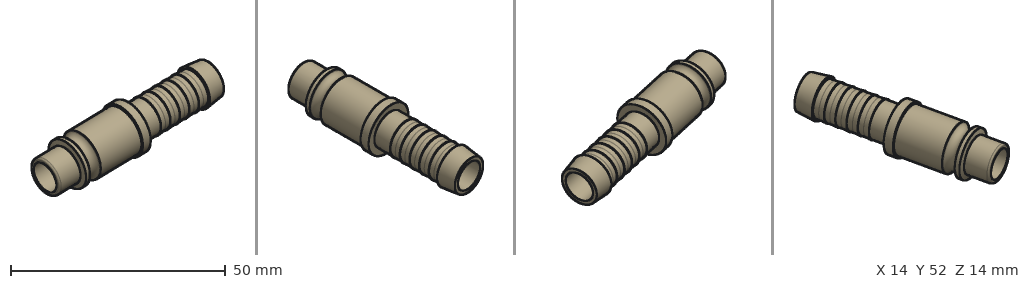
import cadquery as cq
import math

length = 52.0
bore_radius = 3.9

tip_radius = 5.0
tip_fillet = 0.5
flange_shoulder_radius = 6.5
flange_face_y = 6.6
flange_face_angle = 15.0

groove_center_y = 9.95
groove_bottom_radius = 5.35
groove_arc_radius = 1.7
lip_edge_offset = 1.7
lip_arc_offset = 1.5

body_radius = 6.5
collar_radius = 7.0
collar_start_y = 24.5
collar_end_y = 27.0

tail_radius = 5.0
head_radius = 5.6
head_length = 5.0
barb_radius = 5.15
barb_length = 1.5
barb_pitch = 3.0
barb_count = 5
last_barb_end_y = length - head_length - barb_count * barb_pitch


def ring(radius, start_y, end_y):
    """Solid cylinder along Y between two stations."""
    return cq.Workplane("XZ", origin=(0, end_y, 0)).circle(radius).extrude(end_y - start_y)


def flare(large_radius, small_radius, start_y, end_y):
    """Solid cone along Y, large at its start and tapering to its end."""
    outline = [(0, start_y), (large_radius, start_y), (small_radius, end_y), (0, end_y)]
    return cq.Workplane("XY").polyline(outline).close().revolve(360, (0, 0), (0, 1))


def plug():
    """Plug tip, flange, locking groove and body as one revolved outline."""
    flange_face_rise = (flange_shoulder_radius - tip_radius) * math.tan(math.radians(flange_face_angle))
    arc_center_radius = groove_bottom_radius + groove_arc_radius
    arc_end_radius = arc_center_radius - math.sqrt(groove_arc_radius**2 - lip_arc_offset**2)
    outline = (
        cq.Workplane("XY")
        .moveTo(0, 0)
        .lineTo(tip_radius, 0)
        .lineTo(tip_radius, flange_face_y)
        .lineTo(flange_shoulder_radius, flange_face_y + flange_face_rise)
        .lineTo(flange_shoulder_radius, groove_center_y - lip_edge_offset)
        .lineTo(arc_end_radius, groove_center_y - lip_arc_offset)
        .threePointArc(
            (groove_bottom_radius, groove_center_y),
            (arc_end_radius, groove_center_y + lip_arc_offset),
        )
        .lineTo(body_radius, groove_center_y + lip_edge_offset)
        .lineTo(body_radius, collar_start_y)
        .lineTo(0, collar_start_y)
        .close()
    )
    solid = outline.revolve(360, (0, 0), (0, 1))
    return solid.faces("<Y").edges().fillet(tip_fillet)


def hose_tail():
    """Plain tail with a row of shallow barbs and a tapered head at the end."""
    tail = ring(tail_radius, collar_end_y, length)
    for index in range(barb_count):
        start_y = last_barb_end_y + index * barb_pitch
        tail = tail.union(flare(barb_radius, tail_radius, start_y, start_y + barb_length))
    return tail.union(flare(head_radius, tail_radius, length - head_length, length))


collar = ring(collar_radius, collar_start_y, collar_end_y)
bore = ring(bore_radius, 0, length)
result = plug().union(collar).union(hose_tail()).cut(bore)